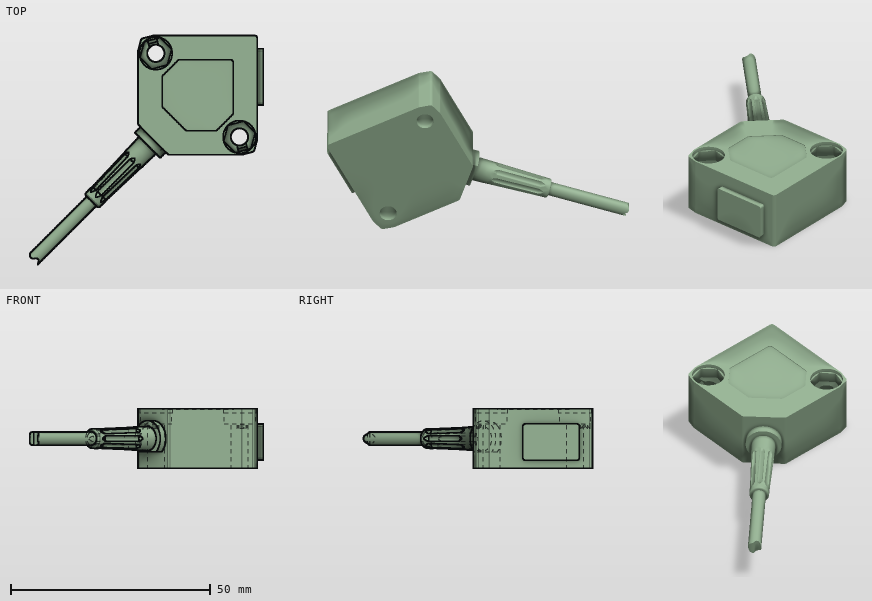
import cadquery as cq
import math

side = 30.0
height = 15.0
half_side = side / 2
half_height = height / 2
cable_corner_cut = 7.7
screw_corner_run = 4.0
screw_corner_slope = 15
edge_radius = 0.8

label_side = 17.85
label_screw_cut = 4.2
label_cable_cut = 6.05
label_radius = 0.8
label_depth = 0.2

screw_offset = 10.5
screw_hole_diameter = 4.3
counterbore_diameter = 8.2
counterbore_depth = 1.0
hex_depth = 2.75
hex_corner_radius = 0.35
hex_flat_angle = 105
hex_floor = half_height - counterbore_depth - hex_depth
hex_half_sector = 180 / 6
hex_flat_distance = counterbore_diameter / 2 * math.cos(math.radians(hex_half_sector))

slot_width = 2.35
slot_depth = 1.2
slot_inner_distance = 1.75
ridge_distance = 2.75
ridge_drop = 0.25

plate_thickness = 1.45
plate_length = 14.2
plate_height = 9.1
plate_radius = 0.6
plate_center_y = 4.55
plate_center_z = -0.9

cable_angle = -135
corner_distance = (side - cable_corner_cut) / math.sqrt(2)
collar_diameter = 9.0
collar_length = 2.0
collar_flat_z = -3.3
boot_start = corner_distance + collar_length
boot_end = 37.6
boot_start_radius = 3.05
boot_end_radius = 2.45
boot_end_fillet = 0.4
cable_radius = 1.7

groove_count = 8
groove_radius = 0.8
groove_start = 23.35
groove_end = 34.9
groove_tip = 1.95
groove_start_lift = 0.4
groove_end_lift = 0.3

break_crest = 58.4
break_trough = 57.4
break_trough_end = 57.5
break_crest_edge = 57.6
break_middle = 58.05
break_tip = 58.45
break_crest_offset = 0.9
break_trough_offset = 0.75
break_trough_end_offset = 1.2


def housing():
    """Prism with one large cut corner and two corners tapered from both sides."""
    slope = math.tan(math.radians(screw_corner_slope))
    corner_inset = screw_corner_run * slope / (1 + slope)
    near = half_side - corner_inset
    far = half_side - screw_corner_run
    cut = half_side - cable_corner_cut
    outline = [
        (half_side, half_side),
        (-far, half_side),
        (-near, near),
        (-half_side, far),
        (-half_side, -cut),
        (-cut, -half_side),
        (far, -half_side),
        (near, -near),
        (half_side, -far),
    ]
    block = cq.Workplane("XY").workplane(offset=-half_height).polyline(outline).close().extrude(height)
    return block.edges("|Z").fillet(edge_radius)


def label_recess():
    """Shallow pocket with cut corners towards the screws and the cable."""
    half = label_side / 2
    screw = half - label_screw_cut
    cable = half - label_cable_cut
    outline = [
        (half, half),
        (-screw, half),
        (-half, screw),
        (-half, -cable),
        (-cable, -half),
        (screw, -half),
        (half, -screw),
    ]
    pocket = cq.Workplane("XY").workplane(offset=half_height - label_depth).polyline(outline).close()
    return pocket.extrude(label_depth).edges("|Z").fillet(label_radius)


def screw_cut():
    """Through hole, hex pocket, counterbore and slot for the (-X, +Y) corner."""
    hole = cq.Workplane("XY").circle(screw_hole_diameter / 2).extrude(half_height, both=True)
    hexagon = (
        cq.Workplane("XY")
        .workplane(offset=hex_floor)
        .polygon(6, counterbore_diameter)
        .extrude(hex_depth)
        .edges("|Z")
        .fillet(hex_corner_radius)
        .rotate((0, 0, 0), (0, 0, 1), hex_flat_angle - hex_half_sector)
    )
    counterbore = (
        cq.Workplane("XY")
        .workplane(offset=half_height - counterbore_depth)
        .circle(counterbore_diameter / 2)
        .extrude(counterbore_depth)
    )
    slot_floor = hex_floor - slot_depth
    slot = (
        cq.Workplane("XZ")
        .moveTo(hex_flat_distance, hex_floor)
        .lineTo(hex_flat_distance, slot_floor)
        .lineTo(ridge_distance, hex_floor - ridge_drop)
        .lineTo(slot_inner_distance, slot_floor)
        .lineTo(slot_inner_distance, hex_floor)
        .close()
        .extrude(slot_width / 2, both=True)
        .rotate((0, 0, 0), (0, 0, 1), hex_flat_angle)
    )
    cut = hole.union(hexagon).union(counterbore).union(slot)
    return cut.translate((-screw_offset, screw_offset, 0))


def side_plate():
    """Rounded rectangular plate standing out from the +X face."""
    return (
        cq.Workplane("YZ")
        .workplane(offset=half_side)
        .center(plate_center_y, plate_center_z)
        .rect(plate_length, plate_height)
        .extrude(plate_thickness)
        .edges("|X")
        .fillet(plate_radius)
    )


def rod(radius, start, end):
    """Cylinder along +X between two distances from the origin."""
    return cq.Workplane("YZ").workplane(offset=start).circle(radius).extrude(end - start)


def collar():
    """Disc with its underside cut flat."""
    keep_height = collar_diameter / 2 - collar_flat_z
    keep = cq.Workplane("XY").box(side, side, keep_height, centered=(False, True, False))
    disc = rod(collar_diameter / 2, corner_distance, boot_start)
    return disc.intersect(keep.translate((0, 0, collar_flat_z)))


def boot_radius(distance):
    """Radius of the tapered boot at a distance from the origin."""
    share = (distance - boot_start) / (boot_end - boot_start)
    return boot_start_radius + share * (boot_end_radius - boot_start_radius)


def boot():
    """Tapered sleeve with round-bottomed grooves that end in conical tips."""
    sleeve = (
        cq.Workplane("XZ")
        .polyline(
            [(boot_start, 0), (boot_start, boot_start_radius), (boot_end, boot_end_radius), (boot_end, 0)]
        )
        .close()
        .revolve(360, (0, 0), (1, 0))
        .faces(">X")
        .edges()
        .fillet(boot_end_fillet)
    )
    groove_length = groove_end - groove_start
    start_height = boot_radius(groove_start) + groove_start_lift
    end_height = boot_radius(groove_end) + groove_end_lift
    slope_angle = math.degrees(math.atan((start_height - end_height) / groove_length))
    groove = (
        cq.Workplane("XZ")
        .moveTo(-groove_tip, 0)
        .lineTo(0, groove_radius)
        .lineTo(groove_length, groove_radius)
        .lineTo(groove_length + groove_tip, 0)
        .close()
        .revolve(360, (0, 0), (1, 0))
        .rotate((0, 0, 0), (0, 1, 0), slope_angle)
        .translate((groove_start, 0, start_height))
    )
    for index in range(groove_count):
        turned = groove.rotate((0, 0, 0), (1, 0, 0), index * 360 / groove_count)
        sleeve = sleeve.cut(turned, clean=False)
    return sleeve


def cable():
    """Round cable whose free end is trimmed to a wave with one pointed tip."""
    clear = 2 * cable_radius
    trim = (
        cq.Workplane("XY")
        .moveTo(boot_end, -clear)
        .lineTo(break_crest_edge, -clear)
        .lineTo(break_crest_edge, -cable_radius)
        .threePointArc((break_crest, -break_crest_offset), (break_middle, 0))
        .threePointArc((break_trough, break_trough_offset), (break_trough_end, break_trough_end_offset))
        .lineTo(break_tip, cable_radius)
        .lineTo(break_tip, clear)
        .lineTo(boot_end, clear)
        .close()
        .extrude(clear, both=True)
    )
    return rod(cable_radius, boot_end, break_tip + clear).intersect(trim)


cable_assembly = collar().union(boot(), clean=False).union(cable(), clean=False)
cable_assembly = cable_assembly.rotate((0, 0, 0), (0, 0, 1), cable_angle)

result = housing().cut(label_recess())
for turn in (0, 180):
    result = result.cut(screw_cut().rotate((0, 0, 0), (0, 0, 1), turn))
result = result.union(side_plate()).union(cable_assembly, clean=False)